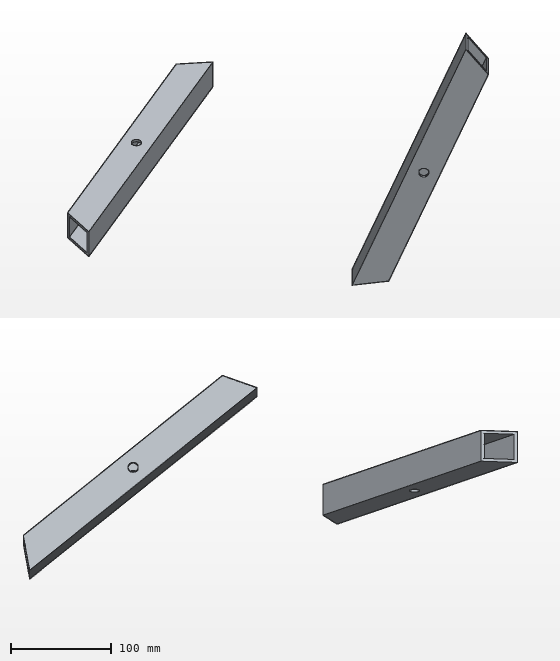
import cadquery as cq
import math

length = 294.5
side = 31.8
wall = 3.0
miter_angle = 30.0
hole_diameter = 10.0

half_side = side / 2
half_length = length / 2
miter_setback = side * math.tan(math.radians(miter_angle))
short_half_length = half_length - miter_setback
bore_side = side - 2 * wall

bar = (
    cq.Workplane("XY")
    .polyline([
        (half_side, -half_length),
        (half_side, half_length),
        (-half_side, short_half_length),
        (-half_side, -short_half_length),
    ])
    .close()
    .extrude(half_side, both=True)
)

bore = cq.Workplane("XY").box(bore_side, length, bore_side)

cross_hole = (
    cq.Workplane("XY")
    .circle(hole_diameter / 2)
    .extrude(side, both=True)
)

result = bar.cut(bore).cut(cross_hole)